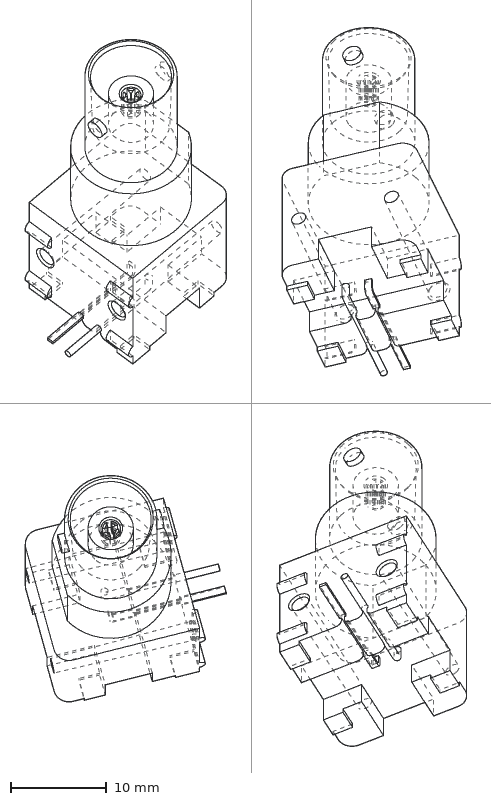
import cadquery as cq
import math


WIDTH = 14.78
DEPTH = 15.27
BODY_TOP = 14.4
REAR_CORNER_RADIUS = 1.62
FRONT_Y = -DEPTH / 2
REAR_Y = DEPTH / 2

FOOT_HEIGHT = 0.55
FOOT_WIDTH = 2.3
FRONT_FOOT_DEPTH = 2.6
REAR_FOOT_OUTER_Y = 4.8
WINDOW_HALF_DEPTH = 2.55
WINDOW_TOP = 3.38
REAR_OPENING_WIDTH = 5.85

COLLAR_RADIUS = 6.3
COLLAR_TOP = 23.08
COLLAR_FLAT_Y = 5.5
BARREL_RADIUS = 4.82
BARREL_TOP = 35.18
RIM_FILLET = 0.35
LUG_RADIUS = 1.0
LUG_Z = 30.92

MOUTH_RADIUS = 4.45
TAPER_RADIUS = 4.22
TAPER_START_Z = 34.7
BORE_RADIUS = 4.05
FLOOR_FILLET = 0.35
FLOOR_Z = 26.75

POST_RADIUS = 2.35
POST_TOP = 31.95
SOCKET_MOUTH_RADIUS = 1.23
SOCKET_RADIUS = 1.02
CONTACT_RADIUS = 0.85
CONTACT_MOUTH_RADIUS = 0.6
CONTACT_BORE_RADIUS = 0.4
CONTACT_TOP = POST_TOP - (SOCKET_MOUTH_RADIUS - SOCKET_RADIUS)
CONTACT_SLOT_WIDTH = 0.45
SOCKET_DEPTH = 2.8

BAR_LENGTH = 3.2
BAR_HEIGHT = 1.62
BAR_PROJECTION = 0.65
BAR_CENTRES_Z = (2.15, 10.38)

HOLE_SPACING = 10.2
HOLE_Z = 7.0
HOLE_MOUTH_RADIUS = 1.23
HOLE_FRONT_RADIUS = 1.0
HOLE_REAR_RADIUS = 0.77
HOLE_SINK_DEPTH = HOLE_MOUTH_RADIUS - HOLE_FRONT_RADIUS

PIN_TIP_Y = -12.35
PIN_Z = 1.85
PIN_BEND_RADIUS = 0.42
PIN_ROOT_DEPTH = 0.35
FLAT_PIN_X = 0.0
FLAT_PIN_WIDTH = 0.77
FLAT_PIN_THICKNESS = 0.35
ROUND_PIN_X = 2.55
ROUND_PIN_DIAMETER = 0.77
FLAT_SLOT_WIDTH = 0.35
ROUND_SLOT_WIDTH = 0.5
FLAT_SLOT_TOP = 2.15
SLOT_MOUTH_FILLET = 0.7


def box(x_range, y_range, z_range):
    """Box given by its limits along each axis."""
    (x0, x1), (y0, y1), (z0, z1) = x_range, y_range, z_range
    return cq.Workplane("XY").box(x1 - x0, y1 - y0, z1 - z0, centered=False).translate((x0, y0, z0))


def cylinder(radius, bottom, top):
    """Cylinder on the barrel axis."""
    return cq.Workplane("XY").workplane(offset=bottom).circle(radius).extrude(top - bottom)


def make_housing():
    side_profile = [
        (FRONT_Y, 0),
        (FRONT_Y + FRONT_FOOT_DEPTH, 0),
        (FRONT_Y + FRONT_FOOT_DEPTH, FOOT_HEIGHT),
        (-WINDOW_HALF_DEPTH, FOOT_HEIGHT),
        (-WINDOW_HALF_DEPTH, WINDOW_TOP),
        (WINDOW_HALF_DEPTH, WINDOW_TOP),
        (WINDOW_HALF_DEPTH, 0),
        (REAR_FOOT_OUTER_Y, 0),
        (REAR_FOOT_OUTER_Y, FOOT_HEIGHT),
        (REAR_Y, FOOT_HEIGHT),
        (REAR_Y, BODY_TOP),
        (FRONT_Y, BODY_TOP),
    ]
    housing = cq.Workplane("YZ").polyline(side_profile).close().extrude(WIDTH / 2, both=True)
    housing = housing.edges("|Z and >Y").fillet(REAR_CORNER_RADIUS)
    foot_gap = WIDTH / 2 - FOOT_WIDTH
    housing = housing.cut(box((-foot_gap, foot_gap), (FRONT_Y, REAR_Y), (0, FOOT_HEIGHT)))
    half_opening = REAR_OPENING_WIDTH / 2
    return housing.cut(box((-half_opening, half_opening), (0, REAR_Y), (0, WINDOW_TOP)))


def make_barrel():
    collar = cylinder(COLLAR_RADIUS, BODY_TOP, COLLAR_TOP)
    beyond_flat = box(
        (-COLLAR_RADIUS, COLLAR_RADIUS), (COLLAR_FLAT_Y, COLLAR_RADIUS), (BODY_TOP, COLLAR_TOP)
    )
    barrel = cylinder(BARREL_RADIUS, COLLAR_TOP, BARREL_TOP).faces(">Z").edges().fillet(RIM_FILLET)
    lugs = (
        cq.Workplane("XZ").center(0, LUG_Z).circle(LUG_RADIUS).extrude(COLLAR_FLAT_Y, both=True)
    )
    bore_profile = [
        (0, BARREL_TOP),
        (MOUTH_RADIUS, BARREL_TOP),
        (TAPER_RADIUS, TAPER_START_Z),
        (BORE_RADIUS, FLOOR_Z),
        (0, FLOOR_Z),
    ]
    bore = cq.Workplane("XZ").polyline(bore_profile).close().revolve(360, (0, 0, 0), (0, 1, 0))
    bore = bore.faces("<Z").edges().fillet(FLOOR_FILLET)
    return collar.cut(beyond_flat).union(barrel).union(lugs).cut(bore)


def make_post():
    post = cylinder(POST_RADIUS, FLOOR_Z, POST_TOP)
    socket_floor = POST_TOP - SOCKET_DEPTH
    socket_profile = [
        (0, POST_TOP),
        (SOCKET_MOUTH_RADIUS, POST_TOP),
        (SOCKET_RADIUS, CONTACT_TOP),
        (SOCKET_RADIUS, socket_floor),
        (0, socket_floor),
    ]
    socket = cq.Workplane("XZ").polyline(socket_profile).close().revolve(360, (0, 0, 0), (0, 1, 0))
    contact = cylinder(CONTACT_RADIUS, socket_floor, CONTACT_TOP)
    contact = contact.cut(cylinder(CONTACT_BORE_RADIUS, socket_floor, CONTACT_TOP))
    contact = contact.faces(">Z").edges(cq.selectors.RadiusNthSelector(0)).chamfer(
        CONTACT_MOUTH_RADIUS - CONTACT_BORE_RADIUS
    )
    slot = box(
        (-CONTACT_RADIUS, CONTACT_RADIUS),
        (-CONTACT_SLOT_WIDTH / 2, CONTACT_SLOT_WIDTH / 2),
        (socket_floor, CONTACT_TOP),
    )
    for angle in (0, 90):
        contact = contact.cut(slot.rotate((0, 0, 0), (0, 0, 1), angle))
    return post.cut(socket).union(contact)


def make_standoff_bars():
    bars = cq.Workplane("XY")
    for z in BAR_CENTRES_Z:
        for x_start in (-WIDTH / 2, WIDTH / 2 - BAR_LENGTH):
            bar = (
                cq.Workplane("YZ")
                .workplane(offset=x_start)
                .moveTo(FRONT_Y, z - BAR_HEIGHT / 2)
                .threePointArc((FRONT_Y - BAR_PROJECTION, z), (FRONT_Y, z + BAR_HEIGHT / 2))
                .close()
                .extrude(BAR_LENGTH)
            )
            bars = bars.add(bar)
    return bars.combine()


def make_mounting_hole(x):
    profile = [
        (0, FRONT_Y),
        (HOLE_MOUTH_RADIUS, FRONT_Y),
        (HOLE_FRONT_RADIUS, FRONT_Y + HOLE_SINK_DEPTH),
        (HOLE_REAR_RADIUS, REAR_Y),
        (0, REAR_Y),
    ]
    hole = cq.Workplane("XY").polyline(profile).close().revolve(360, (0, 0, 0), (0, 1, 0))
    return hole.translate((x, 0, HOLE_Z))


def make_pin_slot(x, width, top):
    """Slot through the front wall with its mouth flared by a fillet on each side."""
    half = width / 2
    flare = SLOT_MOUTH_FILLET
    arc_inset = flare * (1 - math.sqrt(0.5))
    mid_x = half + arc_inset
    mid_z = FOOT_HEIGHT + arc_inset
    return (
        cq.Workplane("XZ", origin=(x, -WINDOW_HALF_DEPTH, 0))
        .moveTo(-half - flare, FOOT_HEIGHT)
        .threePointArc((-mid_x, mid_z), (-half, FOOT_HEIGHT + flare))
        .lineTo(-half, top)
        .lineTo(half, top)
        .lineTo(half, FOOT_HEIGHT + flare)
        .threePointArc((mid_x, mid_z), (half + flare, FOOT_HEIGHT))
        .close()
        .extrude(DEPTH / 2 - WINDOW_HALF_DEPTH)
    )


def pin_path(x):
    """Centre line of a pin: forward from the tip, then bent up into the window ceiling."""
    arc_inset = PIN_BEND_RADIUS * (1 - math.sqrt(0.5))
    return (
        cq.Workplane("YZ", origin=(x, 0, 0))
        .moveTo(PIN_TIP_Y, PIN_Z)
        .lineTo(-PIN_BEND_RADIUS, PIN_Z)
        .threePointArc((-arc_inset, PIN_Z + arc_inset), (0, PIN_Z + PIN_BEND_RADIUS))
        .lineTo(0, WINDOW_TOP + PIN_ROOT_DEPTH)
    )


def make_flat_pin():
    tip = cq.Workplane("XZ", origin=(FLAT_PIN_X, PIN_TIP_Y, PIN_Z))
    return tip.rect(FLAT_PIN_WIDTH, FLAT_PIN_THICKNESS).sweep(pin_path(FLAT_PIN_X))


def make_round_pin():
    tip = cq.Workplane("XZ", origin=(ROUND_PIN_X, PIN_TIP_Y, PIN_Z))
    return tip.circle(ROUND_PIN_DIAMETER / 2).sweep(pin_path(ROUND_PIN_X))


housing = make_housing().union(make_standoff_bars())
for side in (-1, 1):
    housing = housing.cut(make_mounting_hole(side * HOLE_SPACING / 2))
housing = housing.cut(make_pin_slot(FLAT_PIN_X, FLAT_SLOT_WIDTH, FLAT_SLOT_TOP))
housing = housing.cut(make_pin_slot(ROUND_PIN_X, ROUND_SLOT_WIDTH, PIN_Z))

result = (
    housing.union(make_barrel()).union(make_post()).union(make_flat_pin()).union(make_round_pin())
)